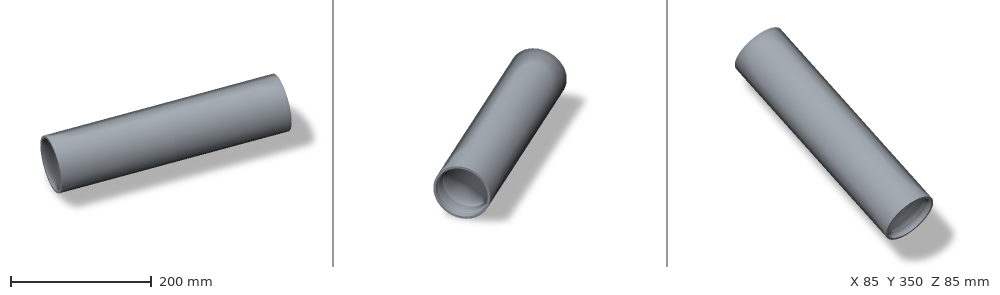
import cadquery as cq

length = 350.0
outer_radius = 42.52
mouth_radius = 39.0
seat_radius = 37.8
bore_radius = 36.8

mouth_depth = 8.8
seat_depth = 27.3
taper_length = 2.0

half_length = length / 2


def end_recess():
    """Stepped recess at the -Y end, revolved about the Y axis."""
    profile = [
        (0, 0),
        (mouth_radius, 0),
        (mouth_radius, mouth_depth),
        (seat_radius, mouth_depth + taper_length),
        (seat_radius, seat_depth),
        (bore_radius, seat_depth + taper_length),
        (0, seat_depth + taper_length),
    ]
    recess = cq.Workplane("XY").polyline(profile).close().revolve(360, (0, 0, 0), (0, 1, 0))
    return recess.translate((0, -half_length, 0))


tube = cq.Workplane("XZ").circle(outer_radius).circle(bore_radius).extrude(half_length, both=True)

front_recess = end_recess()
result = tube.cut(front_recess).cut(front_recess.mirror("XZ"))